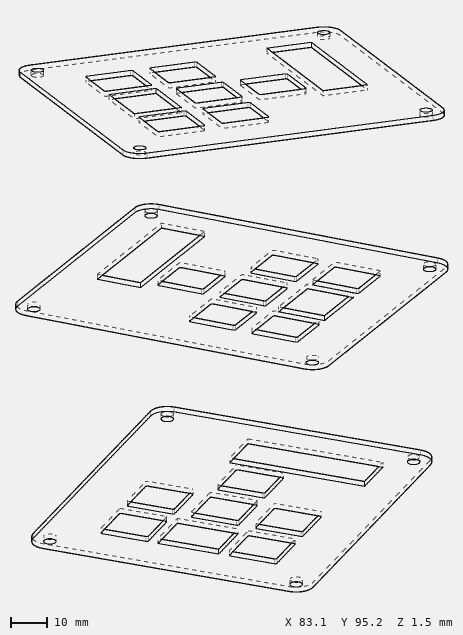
import cadquery as cq

plate_width = 83.1
plate_length = 95.2
plate_thickness = 1.5
corner_radius = 5.0

mount_hole_diameter = 3.4
mount_spacing_x = plate_width - 2 * corner_radius
mount_spacing_y = plate_length - 2 * corner_radius

key_size = 14.0
key_pitch = 19.05
key_corner_radius = 0.5
middle_key_x = -0.45
middle_key_y = -6.5
key_grid_places = [(0, 1), (-1, 0), (0, 0), (1, 0), (-1, -1), (1, -1)]

wide_cutout_width = 18.0
wide_cutout_x = middle_key_x
wide_cutout_y = middle_key_y - key_pitch

display_width = 40.0
display_height = 13.2
display_x = -10.0
display_y = 29.6


def make_plate():
    """Flat plate with rounded vertical corners."""
    plate = cq.Workplane("XY").rect(plate_width, plate_length).extrude(plate_thickness)
    return plate.edges("|Z").fillet(corner_radius)


def window(x, y, width, height):
    """Rectangular cutter through the full plate thickness."""
    return cq.Workplane("XY").center(x, y).rect(width, height).extrude(plate_thickness)


def key_cutout(column, row):
    """Square key cutter with slightly rounded corners at a grid place."""
    x = middle_key_x + column * key_pitch
    y = middle_key_y + row * key_pitch
    return window(x, y, key_size, key_size).edges("|Z").fillet(key_corner_radius)


def mount_holes():
    """Four round cutters, one near each plate corner."""
    corners = cq.Workplane("XY").rect(mount_spacing_x, mount_spacing_y, forConstruction=True).vertices()
    return corners.circle(mount_hole_diameter / 2).extrude(plate_thickness)


result = make_plate().cut(mount_holes())
for column, row in key_grid_places:
    result = result.cut(key_cutout(column, row))
result = result.cut(window(wide_cutout_x, wide_cutout_y, wide_cutout_width, key_size))
result = result.cut(window(display_x, display_y, display_width, display_height))